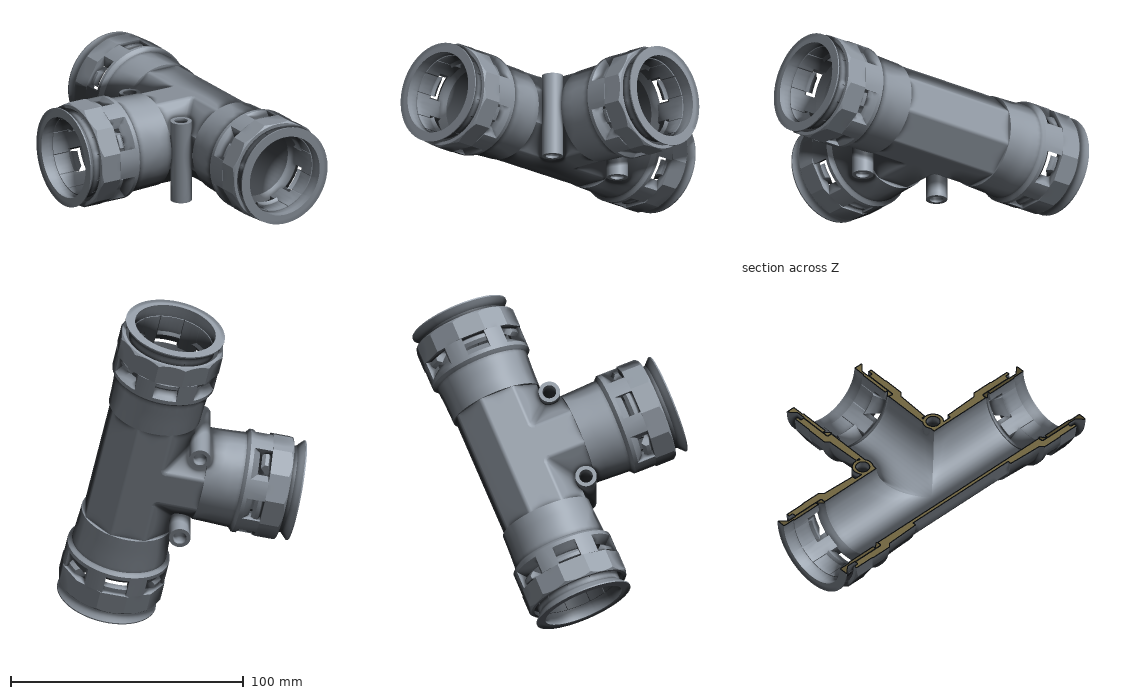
import cadquery as cq
import math

RUN_HALF = 69.9
BRANCH_LENGTH = 68.3

CORE_APOTHEM = 18.5
CORE_FILLET = 2.2
CORE_OVERLAP = 4.2
EDGE_TOLERANCE = 0.1
BORE_RADIUS = 16.8

POST_X = 20.5
POST_Y = -21.5
POST_DIAMETER = 9.2
POST_HOLE_DIAMETER = 5.9
POST_TOP = 14.1
POST_BOTTOM = -22.1

COLLAR_START = 5.6
WINDOW_START = 15.0
WINDOW_END_INNER = 19.8
WINDOW_END_OUTER = 22.9
SHOULDER_START = 24.6
CONE_START = 26.1
CONE_END = 42.2
COLLAR_APOTHEM = 22.2
COLLAR_SIDES = 12
COLLAR_END_RADIUS = 22.1
COLLAR_CHAMFER = 1.1
COLLAR_RECESS_RADIUS = 20.7
COLLAR_RECESS_DEPTH = 2.1
RIM_RADIUS = 22.5
CONE_BIG_RADIUS = 20.8
CONE_SMALL_RADIUS = 20.1
SOCKET_RADIUS = 18.9

TOP_WINDOW_WIDTH = 10.3
SIDE_WINDOW_Y = 13.0
SIDE_WINDOW_ANGLE = 30

FLARE_RADIUS = 21.8
FLARE_EDGE = 0.5
FLARE_END = 3.5
RING_ENTRY_RADIUS = 17.8
RING_ENTRY_DEPTH = 5.6
RING_INNER_RADIUS = 17.3
TOP_FINGER_WIDTH = 10.0
SIDE_FINGER_OFFSET = 3.8
SIDE_FINGER_TOP = 12.5
SLIT_WIDTH = 0.3
CLAW_ROOT_DEPTH = 13.1
BARB_RADIUS = 16.1
BARB_DEPTH = 14.3
CLAW_RADIUS = 21.4
CLAW_CREST_START = 16.1
CLAW_CREST_END = 17.6
CLAW_TIP_RADIUS = 20.0
CLAW_TIP_DEPTH = 19.0

SEAL_START = WINDOW_END_INNER
SEAL_LENGTH = 2.8
SEAL_MOUTH_RADIUS = 18.6
SEAL_LIP_RADIUS = 16.0

SPAN = 2 * RIM_RADIUS


def revolve_profile(points):
    """Revolve (depth, radius) points about the port axis; the port runs inwards along -X."""
    outline = [(-depth, radius) for depth, radius in points]
    return cq.Workplane("XY").polyline(outline).close().revolve(360, (0, 0, 0), (1, 0, 0))


def disc(start, end, radius):
    return revolve_profile([(start, 0), (start, radius), (end, radius), (end, 0)])


def block(start, end, y_range, z_range):
    """Box between two depths, spanning the given Y and Z ranges."""
    size = (end - start, y_range[1] - y_range[0], z_range[1] - z_range[0])
    corner = (-end, y_range[0], z_range[0])
    return cq.Workplane("XY").box(*size, centered=False).translate(corner)


def place_at_ports(body):
    """Copies of a port-frame body at the right, left and branch ports."""
    right = body.translate((RUN_HALF, 0, 0))
    left = right.rotate((0, 0, 0), (0, 0, 1), 180)
    branch = body.translate((BRANCH_LENGTH, 0, 0)).rotate((0, 0, 0), (0, 0, 1), -90)
    return [right, left, branch]


def octagon_bar(plane_name, length):
    """Octagonal bar with flats on top and bottom, starting at the origin."""
    across_corners = 2 * CORE_APOTHEM / math.cos(math.pi / 8)
    turned_plane = cq.Workplane(plane_name).transformed(rotate=(0, 0, 180 / 8))
    return turned_plane.polygon(8, across_corners).extrude(length)


def make_core():
    """Octagonal tee whose ends are buried in the conical necks, with rounded edges."""
    run_half = RUN_HALF - CONE_END + CORE_OVERLAP
    branch_length = BRANCH_LENGTH - CONE_END + CORE_OVERLAP
    run = octagon_bar("YZ", 2 * run_half).translate((-run_half, 0, 0))
    core = run.union(octagon_bar("XZ", branch_length))

    rounded = core.faces("<Z or >Z").edges()
    rounded = rounded.add(core.faces(">Y").edges("|X"))
    half_flat = CORE_APOTHEM * math.tan(math.pi / 8)
    near = half_flat + EDGE_TOLERANCE
    far = CORE_APOTHEM + EDGE_TOLERANCE
    for low_x, high_x in [(-far, -near), (near, far)]:
        inner_corner = cq.selectors.BoxSelector((low_x, -far, -far), (high_x, -near, far))
        rounded = rounded.add(core.edges(inner_corner))
    return rounded.fillet(CORE_FILLET)


def make_port_shell():
    """Conical neck with its rim and the cylinder that carries the windows."""
    return revolve_profile([
        (WINDOW_START, 0),
        (WINDOW_START, RIM_RADIUS),
        (SHOULDER_START, RIM_RADIUS),
        (CONE_START, CONE_BIG_RADIUS),
        (CONE_END, CONE_SMALL_RADIUS),
        (CONE_END, 0),
    ])


def make_collar():
    """Twelve-sided collar with a conical chamfer on its outer end."""
    across_corners = 2 * COLLAR_APOTHEM / math.cos(math.pi / COLLAR_SIDES)
    prism = (
        cq.Workplane("YZ", origin=(-WINDOW_START, 0, 0))
        .polygon(COLLAR_SIDES, across_corners)
        .extrude(WINDOW_START - COLLAR_START)
        .rotate((0, 0, 0), (1, 0, 0), 180 / COLLAR_SIDES)
    )
    chamfer_limit = revolve_profile([
        (COLLAR_START, 0),
        (COLLAR_START, COLLAR_END_RADIUS),
        (COLLAR_START + COLLAR_CHAMFER, across_corners / 2),
        (WINDOW_START, across_corners / 2),
        (WINDOW_START, 0),
    ])
    return prism.intersect(chamfer_limit)


def top_and_bottom_strip(start, end, width):
    """Space of the top and bottom windows or fingers of the given width."""
    return block(start, end, (-width / 2, width / 2), (-SPAN, SPAN))


def four_sides(body):
    """The body together with its mirror images across both planes through the port axis."""
    both = body.union(body.mirror("XY"))
    return both.union(both.mirror("XZ"))


def above_tilted_plane(start, end, offset):
    """Space above a plane tilted like the side windows and set below the port axis by the offset."""
    slab = block(start, end, (-SPAN, SPAN), (-offset, SPAN))
    return slab.rotate((0, 0, 0), (1, 0, 0), SIDE_WINDOW_ANGLE)


def side_opening(start, end, inner_y):
    """Space of one side window, bounded by its tilted lower wall and its upright upper wall."""
    upright = block(start, end, (inner_y, SPAN), (0, SPAN))
    return upright.intersect(above_tilted_plane(start, end, TOP_WINDOW_WIDTH / 2))


def make_windows():
    """Top and bottom windows and four side windows, all with a conical inner end."""
    cone_slope = (WINDOW_END_OUTER - WINDOW_END_INNER) / (RIM_RADIUS - SOCKET_RADIUS)
    outer_end = WINDOW_END_INNER + cone_slope * (SPAN - SOCKET_RADIUS)
    ring = revolve_profile([
        (WINDOW_START, 0),
        (WINDOW_START, SPAN),
        (outer_end, SPAN),
        (WINDOW_END_INNER, SOCKET_RADIUS),
        (WINDOW_END_INNER, 0),
    ])
    depths = (WINDOW_START, outer_end)
    zones = top_and_bottom_strip(*depths, TOP_WINDOW_WIDTH)
    zones = zones.union(four_sides(side_opening(*depths, SIDE_WINDOW_Y)))
    return ring.intersect(zones)


def make_port_body():
    return make_port_shell().union(make_collar())


def make_port_cavity():
    seal_end = SEAL_START + SEAL_LENGTH
    socket = disc(COLLAR_START, seal_end, SOCKET_RADIUS)
    recess = disc(COLLAR_START, COLLAR_START + COLLAR_RECESS_DEPTH, COLLAR_RECESS_RADIUS)
    return socket.union(recess).union(make_windows())


def make_housing():
    """Core and three ports with their cavities and bores."""
    housing = make_core()
    for port in place_at_ports(make_port_body()):
        housing = housing.union(port)
    for cavity in place_at_ports(make_port_cavity()):
        housing = housing.cut(cavity)
    run_bore = cq.Workplane("YZ").circle(BORE_RADIUS).extrude(RUN_HALF, both=True)
    branch_bore = cq.Workplane("XZ").circle(BORE_RADIUS).extrude(BRANCH_LENGTH)
    return housing.cut(run_bore).cut(branch_bore)


def add_posts(housing):
    """Two upright tubular posts in the inner corners of the tee."""
    post_spots = [(-POST_X, POST_Y), (POST_X, POST_Y)]
    post_base = cq.Workplane("XY", origin=(0, 0, POST_BOTTOM)).pushPoints(post_spots)
    post_height = POST_TOP - POST_BOTTOM
    with_posts = housing.union(post_base.circle(POST_DIAMETER / 2).extrude(post_height))
    return with_posts.cut(post_base.circle(POST_HOLE_DIAMETER / 2).extrude(post_height))


def finger_zones(start, end, gap=0.0):
    """Space of the six fingers: top, bottom and two on each side, widened by the gap."""
    side = block(start, end, (TOP_FINGER_WIDTH / 2 + gap, SPAN), (0, SIDE_FINGER_TOP + gap))
    side = side.intersect(above_tilted_plane(start, end, SIDE_FINGER_OFFSET + gap))
    return top_and_bottom_strip(start, end, TOP_FINGER_WIDTH + 2 * gap).union(four_sides(side))


def ring_notches():
    """Openings in the ring around the claws, level with the inner edges of the side windows."""
    depths = (CLAW_ROOT_DEPTH, SEAL_START)
    window_edge_z = math.sqrt(SOCKET_RADIUS**2 - SIDE_WINDOW_Y**2)
    notch_y = math.sqrt(RING_INNER_RADIUS**2 - window_edge_z**2)
    strip = top_and_bottom_strip(*depths, TOP_WINDOW_WIDTH)
    return strip.union(four_sides(side_opening(*depths, notch_y)))


def make_lock_ring():
    tube = revolve_profile([
        (0, RING_ENTRY_RADIUS),
        (0, FLARE_RADIUS),
        (FLARE_EDGE, FLARE_RADIUS),
        (FLARE_END, SOCKET_RADIUS),
        (SEAL_START, SOCKET_RADIUS),
        (SEAL_START, RING_INNER_RADIUS),
        (RING_ENTRY_DEPTH, RING_INNER_RADIUS),
        (RING_ENTRY_DEPTH, RING_ENTRY_RADIUS),
    ])
    slits = finger_zones(RING_ENTRY_DEPTH, CLAW_ROOT_DEPTH, SLIT_WIDTH)
    slits = slits.cut(finger_zones(RING_ENTRY_DEPTH, CLAW_ROOT_DEPTH))
    claw_ring = revolve_profile([
        (CLAW_ROOT_DEPTH, RING_INNER_RADIUS),
        (CLAW_ROOT_DEPTH, SOCKET_RADIUS),
        (WINDOW_START, SOCKET_RADIUS),
        (CLAW_CREST_START, CLAW_RADIUS),
        (CLAW_CREST_END, CLAW_RADIUS),
        (CLAW_TIP_DEPTH, CLAW_TIP_RADIUS),
        (BARB_DEPTH, BARB_RADIUS),
    ])
    claws = claw_ring.intersect(finger_zones(CLAW_ROOT_DEPTH, CLAW_TIP_DEPTH))
    return tube.cut(slits).cut(ring_notches()).union(claws)


def make_seal():
    seal_end = SEAL_START + SEAL_LENGTH
    return revolve_profile([
        (SEAL_START, SEAL_MOUTH_RADIUS),
        (SEAL_START, SOCKET_RADIUS),
        (seal_end, SOCKET_RADIUS),
        (seal_end, SEAL_LIP_RADIUS),
    ])


housing = add_posts(make_housing())
lock_rings = place_at_ports(make_lock_ring())
seals = place_at_ports(make_seal())

bodies = [housing, *lock_rings, *seals]
result = cq.Compound.makeCompound([body.val() for body in bodies])